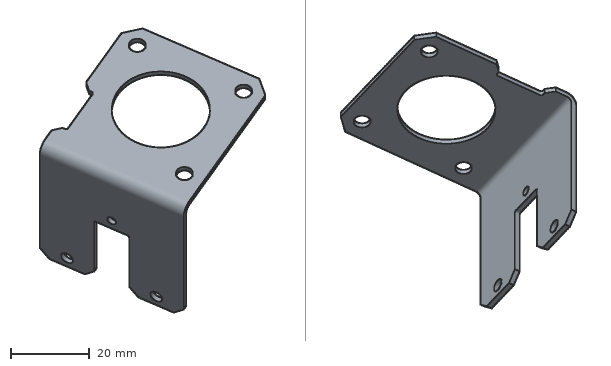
import cadquery as cq

width = 42.0
depth = 46.8
height = 43.5
thickness = 1.5
bend_outer_radius = 3.0
bend_inner_radius = bend_outer_radius - thickness

back_chamfer = 4.0
bore_diameter = 25.0
bore_y = depth - 21.0
plate_hole_diameter = 4.3
plate_hole_offset = 15.5

notch_depth = 3.3
notch_length = 13.95
notch_y = depth - 31.5
notch_chamfer = 2.05
notch_corner_radius = 0.5

slot_width = 10.2
slot_top_z = height - 20.45
slot_corner_radius = 0.5
leg_outer_chamfer = 2.9
leg_inner_chamfer = 2.7
leg_hole_diameter = 3.4
leg_hole_x = 13.0
leg_hole_z = 3.4
pilot_diameter = 2.5
pilot_z = height - 17.25


def bent_sheet():
    """L-shaped strip: front face at Y = 0, legs ending at Z = 0, centred on X."""
    profile = (
        cq.Workplane("YZ", origin=(-width / 2, 0, 0))
        .polyline([(0, 0), (thickness, 0), (thickness, height - thickness),
                   (depth, height - thickness), (depth, height), (0, height)])
        .close()
        .extrude(width)
    )
    outer_bend = cq.selectors.NearestToPointSelector((0, 0, height))
    inner_bend = cq.selectors.NearestToPointSelector((0, thickness, height - thickness))
    sheet = profile.edges(outer_bend).fillet(bend_outer_radius)
    sheet = sheet.edges(inner_bend).fillet(bend_inner_radius)
    return sheet.edges("|Z and >Y").chamfer(back_chamfer)


def plate_workplane():
    """Plane on top of the horizontal plate; local axes match X and Y."""
    return cq.Workplane("XY", origin=(0, 0, height))


def leg_workplane():
    """Plane on the front face; local axes match X and Z; its normal points to -Y."""
    return cq.Workplane("XZ")


def plate_holes():
    """Central bore and three screw holes; the front-left corner has none."""
    bore = plate_workplane().center(0, bore_y).circle(bore_diameter / 2).extrude(-thickness)
    offset = plate_hole_offset
    screws = (
        plate_workplane()
        .center(0, bore_y)
        .pushPoints([(-offset, offset), (offset, offset), (offset, -offset)])
        .circle(plate_hole_diameter / 2)
        .extrude(-thickness)
    )
    return bore.union(screws)


def edge_notch():
    """Notch with a flared mouth and rounded inner corners."""
    half_inner = notch_length / 2
    half_mouth = half_inner + notch_chamfer
    edge_x = -width / 2
    flare_x = edge_x + notch_chamfer
    inner_x = edge_x + notch_depth
    notch = (
        plate_workplane()
        .center(0, notch_y)
        .polyline([(edge_x, -half_mouth), (flare_x, -half_inner), (inner_x, -half_inner),
                   (inner_x, half_inner), (flare_x, half_inner), (edge_x, half_mouth)])
        .close()
        .extrude(-thickness)
    )
    return notch.edges("|Z and >X").fillet(notch_corner_radius)


def leg_slot():
    """Slot open at the bottom, rounded at the top and flared at the mouth."""
    half_slot = slot_width / 2
    half_mouth = half_slot + leg_inner_chamfer
    slot = (
        leg_workplane()
        .polyline([(-half_mouth, 0), (-half_slot, leg_inner_chamfer), (-half_slot, slot_top_z),
                   (half_slot, slot_top_z), (half_slot, leg_inner_chamfer), (half_mouth, 0)])
        .close()
        .extrude(-thickness)
    )
    return slot.edges("|Y and >Z").fillet(slot_corner_radius)


def leg_corners():
    """Triangles removed from the two outer bottom corners."""
    corners = cq.Workplane()
    for side in (-1, 1):
        edge_x = side * width / 2
        corner = (
            leg_workplane()
            .polyline([(edge_x, 0), (edge_x - side * leg_outer_chamfer, 0), (edge_x, leg_outer_chamfer)])
            .close()
            .extrude(-thickness)
        )
        corners = corners.add(corner)
    return corners.combine()


def leg_holes():
    """One hole in each leg and a small hole above the slot."""
    mounts = (
        leg_workplane()
        .pushPoints([(-leg_hole_x, leg_hole_z), (leg_hole_x, leg_hole_z)])
        .circle(leg_hole_diameter / 2)
        .extrude(-thickness)
    )
    pilot = leg_workplane().center(0, pilot_z).circle(pilot_diameter / 2).extrude(-thickness)
    return mounts.union(pilot)


result = (
    bent_sheet()
    .cut(plate_holes())
    .cut(edge_notch())
    .cut(leg_slot())
    .cut(leg_corners())
    .cut(leg_holes())
)